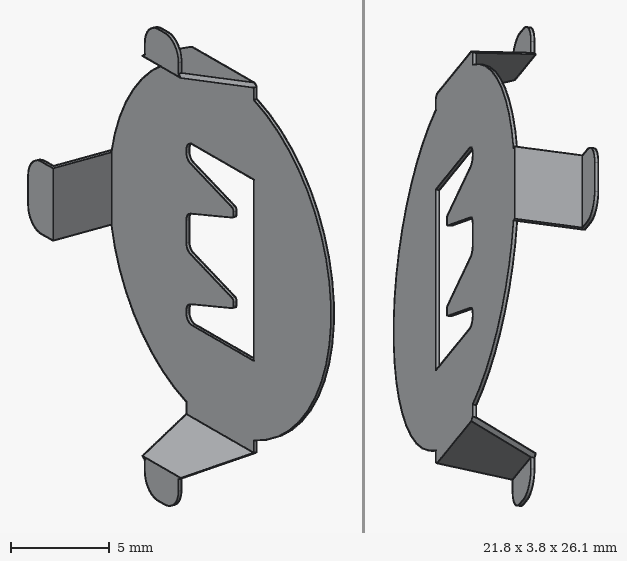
import cadquery as cq
import math

thickness = 0.2
disc_radius = 9.875
total_depth = 3.8
corner_radius = 1.2

neck_half_width = 3.0
foot_half_width = 1.5
bend_height = 10.025
web_angle = math.radians(15)
foot_end = 13.025

side_half_width = 2.0
wall_inner_x = -9.65
wall_thickness = 0.25
side_foot_end = -11.885

window_half_width = 3.0
window_half_height = 5.0
tooth_offset = 2.5
tooth_root_half = 1.5
tooth_tip_half = 0.25
tooth_tip_x = 1.2
root_radius = 0.5
tip_radius = 0.2


def front_sketch():
    """XZ plane workplane; positive extrusion runs towards -Y."""
    return cq.Workplane("XZ")


def make_disc():
    return front_sketch().circle(disc_radius).extrude(thickness)


def make_end_tab():
    """Top tab: bent strip profile, trimmed to the outline seen along Y."""
    web_rise = math.tan(web_angle)
    web_height = thickness / math.cos(web_angle)
    foot_back = total_depth - thickness

    def lower(depth):
        return bend_height + depth * web_rise

    def upper(depth):
        return lower(depth) + web_height

    neck_start = window_half_height
    strip = (
        cq.Workplane("YZ")
        .polyline([
            (0, neck_start),
            (0, upper(0)),
            (-foot_back, upper(foot_back)),
            (-foot_back, foot_end),
            (-total_depth, foot_end),
            (-total_depth, lower(total_depth)),
            (-thickness, lower(thickness)),
            (-thickness, neck_start),
        ])
        .close()
        .extrude(neck_half_width, both=True)
    )

    taper_start = lower(thickness)
    taper_end = upper(foot_back)
    arc_drop = corner_radius * (1 - math.sqrt(0.5))
    arc_x = foot_half_width - arc_drop
    arc_z = foot_end - arc_drop
    flat_half = foot_half_width - corner_radius
    outline = (
        front_sketch()
        .moveTo(-neck_half_width, neck_start)
        .lineTo(neck_half_width, neck_start)
        .lineTo(neck_half_width, taper_start)
        .lineTo(foot_half_width, taper_end)
        .lineTo(foot_half_width, foot_end - corner_radius)
        .threePointArc((arc_x, arc_z), (flat_half, foot_end))
        .lineTo(-flat_half, foot_end)
        .threePointArc((-arc_x, arc_z), (-foot_half_width, foot_end - corner_radius))
        .lineTo(-foot_half_width, taper_end)
        .lineTo(-neck_half_width, taper_start)
        .close()
        .extrude(total_depth)
    )
    return strip.intersect(outline)


def make_side_tab():
    wall_outer_x = wall_inner_x - wall_thickness
    wall = (
        front_sketch()
        .center((wall_inner_x + wall_outer_x) / 2, 0)
        .rect(wall_thickness, 2 * side_half_width)
        .extrude(total_depth)
    )
    foot_length = wall_inner_x - side_foot_end
    foot = (
        front_sketch()
        .workplane(offset=total_depth - thickness)
        .center(wall_inner_x - foot_length / 2, 0)
        .rect(foot_length, 2 * side_half_width)
        .extrude(thickness)
        .edges("|Y and <X")
        .fillet(corner_radius)
    )
    return wall.union(foot)


def make_tooth(center_z):
    return (
        front_sketch()
        .polyline([
            (-window_half_width, center_z - tooth_root_half),
            (tooth_tip_x, center_z - tooth_tip_half),
            (tooth_tip_x, center_z + tooth_tip_half),
            (-window_half_width, center_z + tooth_root_half),
        ])
        .close()
        .extrude(thickness)
        .edges("|Y and >X")
        .fillet(tip_radius)
    )


def make_window():
    """Cutter for the window, with the teeth left standing and its left corners rounded."""
    window = front_sketch().rect(2 * window_half_width, 2 * window_half_height).extrude(thickness)
    for center_z in (-tooth_offset, tooth_offset):
        window = window.cut(make_tooth(center_z))
    left_edge = cq.selectors.BoxSelector(
        (-window_half_width - tip_radius, -thickness, -window_half_height - tip_radius),
        (-window_half_width + tip_radius, thickness, window_half_height + tip_radius),
    )
    return window.edges("|Y").edges(left_edge).fillet(root_radius)


top_tab = make_end_tab()
bottom_tab = top_tab.mirror("XY")
blank = make_disc().union(top_tab).union(bottom_tab).union(make_side_tab())
result = blank.cut(make_window())